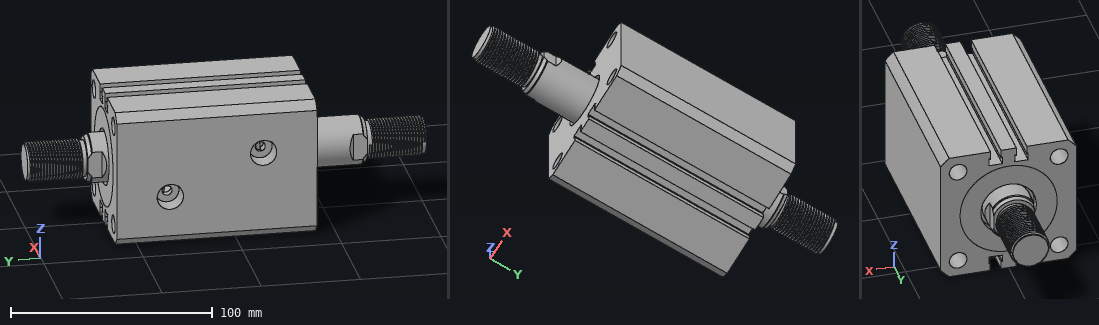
import cadquery as cq

WIDTH = 70.0
HOUSING_LENGTH = 101.0
HOUSING_FRONT = -40.5
HOUSING_REAR = HOUSING_FRONT + HOUSING_LENGTH
CORNER_DIAMETER = 93.0
BORE_DIAMETER = 50.0
END_WALL = 26.25
BOLT_PITCH = 52.0
BOLT_HOLE_DIAMETER = 9.0

SLOT_OFFSET = 6.65
SLOT_MOUTH_WIDTH = 5.4
SLOT_MOUTH_DEPTH = 4.4
SLOT_WIDTH = 6.8
SLOT_DEPTH = 8.0

PORT_FROM_END = 27.0
PORT_HEIGHT = 10.0
PORT_MOUTH_DIAMETER = 13.2
PORT_FLOOR_DIAMETER = 12.0
PORT_DEPTH = 9.0
PASSAGE_DIAMETER = 5.0
PASSAGE_DEPTH = 14.0

RECESS_DIAMETER = 28.5
RECESS_DEPTH = 4.0

ROD_LENGTH = 201.0
ROD_DIAMETER = 25.0
PISTON_LENGTH = 28.5
PISTON_CHAMFER = 2.4
ROD_END_LENGTH = 30.0
FLATS_WIDTH = 21.0
FLATS_LENGTH = 7.2

BEVEL_LENGTH = 2.3
BEVEL_CREST_LENGTH = 0.4
BEVEL_CREST_RADIUS = 12.0
BEVEL_END_RADIUS = 11.1

THREAD_DIAMETER = 20.0
THREAD_PITCH = 1.5
THREAD_DEPTH = 0.92
THREAD_GAP = 1.2
THREAD_END_GAP = 0.5
RIDGE_BASE = 1.3
RIDGE_CREST = 0.2
RIDGE_ROOT_OVERLAP = 0.15

ROD_SHOULDER = ROD_LENGTH / 2 - ROD_END_LENGTH
CORE_RADIUS = THREAD_DIAMETER / 2 - THREAD_DEPTH


def cylinder_y(diameter, start, end):
    """Cylinder on the Y axis from Y = start to Y = end."""
    disc = cq.Workplane("XZ", origin=(0, start, 0)).circle(diameter / 2)
    return disc.extrude(start - end)


def box_y(width, height, start, end):
    """Box centred on the Y axis from Y = start to Y = end."""
    section = cq.Workplane("XZ", origin=(0, start, 0)).rect(width, height)
    return section.extrude(start - end)


def slot_cutter():
    """Undercut slot along the whole housing, open at the top face."""
    top = WIDTH / 2
    mouth = box_y(SLOT_MOUTH_WIDTH, SLOT_MOUTH_DEPTH, HOUSING_FRONT, HOUSING_REAR)
    pocket_height = SLOT_DEPTH - SLOT_MOUTH_DEPTH
    pocket = box_y(SLOT_WIDTH, pocket_height, HOUSING_FRONT, HOUSING_REAR)
    mouth = mouth.translate((0, 0, top - SLOT_MOUTH_DEPTH / 2))
    pocket = pocket.translate((0, 0, top - SLOT_DEPTH + pocket_height / 2))
    return mouth.union(pocket)


def port_cutter(y, z):
    """Tapered port with a flat floor and a passage, entering from the -X face."""
    mouth_radius = PORT_MOUTH_DIAMETER / 2
    floor_radius = PORT_FLOOR_DIAMETER / 2
    passage_radius = PASSAGE_DIAMETER / 2
    half_section = [
        (0, 0),
        (0, mouth_radius),
        (PORT_DEPTH, floor_radius),
        (PORT_DEPTH, passage_radius),
        (PASSAGE_DEPTH, passage_radius),
        (PASSAGE_DEPTH, 0),
    ]
    profile = cq.Workplane("XY").polyline(half_section).close()
    return profile.revolve(360, (0, 0), (1, 0)).translate((-WIDTH / 2, y, z))


def make_housing():
    """Square housing with a bore that is open at the rear end."""
    body = box_y(WIDTH, WIDTH, HOUSING_FRONT, HOUSING_REAR)
    body = body.intersect(cylinder_y(CORNER_DIAMETER, HOUSING_FRONT, HOUSING_REAR))
    body = body.cut(cylinder_y(BORE_DIAMETER, HOUSING_FRONT + END_WALL, HOUSING_REAR))
    body = body.cut(cylinder_y(ROD_DIAMETER, HOUSING_FRONT, HOUSING_REAR))
    body = body.cut(cylinder_y(RECESS_DIAMETER, HOUSING_FRONT, HOUSING_FRONT + RECESS_DEPTH))

    for x_side in (-1, 1):
        for z_side in (-1, 1):
            hole = cylinder_y(BOLT_HOLE_DIAMETER, HOUSING_FRONT, HOUSING_REAR)
            body = body.cut(hole.translate((x_side * BOLT_PITCH / 2, 0, z_side * BOLT_PITCH / 2)))

    for x in (-SLOT_OFFSET, SLOT_OFFSET):
        slot = slot_cutter().translate((x, 0, 0))
        body = body.cut(slot)
        body = body.cut(slot.mirror("XY"))

    body = body.cut(port_cutter(HOUSING_FRONT + PORT_FROM_END, PORT_HEIGHT))
    body = body.cut(port_cutter(HOUSING_REAR - PORT_FROM_END, -PORT_HEIGHT))
    return body


def make_rear_cover():
    """Plug that closes the rear end of the bore and guides the rod."""
    cover = cylinder_y(BORE_DIAMETER, HOUSING_REAR - END_WALL, HOUSING_REAR)
    cover = cover.cut(cylinder_y(ROD_DIAMETER, HOUSING_REAR - END_WALL, HOUSING_REAR))
    return cover.cut(cylinder_y(RECESS_DIAMETER, HOUSING_REAR - RECESS_DEPTH, HOUSING_REAR))


def flat_cutter():
    """Material outside one wrench flat at the +Y shoulder, with a 45 degree run-out."""
    flat = FLATS_WIDTH / 2
    outside = ROD_DIAMETER / 2
    flat_start = ROD_SHOULDER - FLATS_LENGTH
    run_out = outside - flat
    outline = [
        (flat, ROD_SHOULDER),
        (flat, flat_start),
        (outside, flat_start - run_out),
        (outside, ROD_SHOULDER),
    ]
    profile = cq.Workplane("XY").polyline(outline).close()
    return profile.extrude(outside, both=True)


def threaded_end():
    """Threaded end of the rod beyond the +Y shoulder: a round core with a helical ridge."""
    rod_end = ROD_LENGTH / 2
    core = cylinder_y(2 * CORE_RADIUS, ROD_SHOULDER, rod_end)
    root = CORE_RADIUS - RIDGE_ROOT_OVERLAP
    ridge_length = ROD_END_LENGTH - THREAD_GAP - THREAD_END_GAP - RIDGE_BASE
    helix = cq.Wire.makeHelix(THREAD_PITCH, ridge_length, root)
    section = [
        (root, -RIDGE_BASE / 2),
        (THREAD_DIAMETER / 2, -RIDGE_CREST / 2),
        (THREAD_DIAMETER / 2, RIDGE_CREST / 2),
        (root, RIDGE_BASE / 2),
    ]
    ridge = cq.Workplane("XZ").polyline(section).close().sweep(cq.Workplane(helix), isFrenet=True)
    ridge = ridge.rotate((0, 0, 0), (1, 0, 0), -90)
    ridge = ridge.translate((0, ROD_SHOULDER + THREAD_GAP + RIDGE_BASE / 2, 0))
    return core.union(ridge, clean=False)


def rod_shaft():
    """Rod between the threaded ends, with a two-slope bevel at each shoulder."""
    radius = ROD_DIAMETER / 2
    bevel_start = ROD_SHOULDER - BEVEL_LENGTH
    rear_outline = [
        (0, 0),
        (radius, 0),
        (radius, bevel_start),
        (BEVEL_CREST_RADIUS, bevel_start + BEVEL_CREST_LENGTH),
        (BEVEL_END_RADIUS, ROD_SHOULDER),
        (0, ROD_SHOULDER),
    ]
    rear_half = cq.Workplane("XY").polyline(rear_outline).close().revolve(360, (0, 0), (0, 1))
    return rear_half.union(rear_half.mirror("XZ"))


def make_piston_rod():
    """Rod and piston in one piece, with wrench flats and a thread at both ends."""
    rod = rod_shaft()
    piston = cylinder_y(BORE_DIAMETER, -PISTON_LENGTH / 2, PISTON_LENGTH / 2)
    rod = rod.union(piston.edges().chamfer(PISTON_CHAMFER))
    rear_flat = flat_cutter()
    rear_end = threaded_end()
    for turn in (0, 180):
        for side in (0, 180):
            flat = rear_flat.rotate((0, 0, 0), (0, 1, 0), side)
            rod = rod.cut(flat.rotate((0, 0, 0), (0, 0, 1), turn))
    for turn in (0, 180):
        rod = rod.union(rear_end.rotate((0, 0, 0), (0, 0, 1), turn), clean=False)
    return rod


housing = make_housing()
rear_cover = make_rear_cover()
piston_rod = make_piston_rod()

result = cq.Compound.makeCompound([housing.val(), rear_cover.val(), piston_rod.val()])